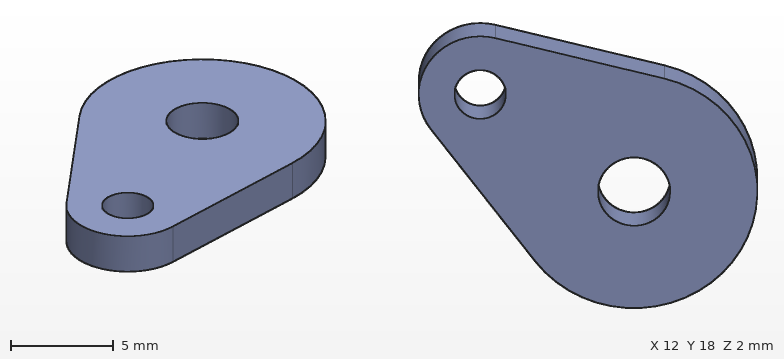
import cadquery as cq
import math

overall_length = 17.99
thickness = 2.0
large_end_diameter = 12.0
center_distance = 9.0
large_hole_diameter = 3.5
small_hole_diameter = 2.5

large_radius = large_end_diameter / 2
small_radius = overall_length - center_distance - large_radius

small_center_y = -center_distance

tangent_angle = math.asin((large_radius - small_radius) / center_distance)


def tangent_point(radius, center_y):
    """Point on the +X side where a flank meets an end arc."""
    return (
        radius * math.cos(tangent_angle),
        center_y - radius * math.sin(tangent_angle),
    )


def mirrored(point):
    """Reflect a point across the Y axis."""
    return (-point[0], point[1])


def make_plate():
    """Teardrop plate: two end arcs joined by tangent straight flanks."""
    large_tangent = tangent_point(large_radius, 0)
    small_tangent = tangent_point(small_radius, small_center_y)
    return (
        cq.Workplane("XY")
        .moveTo(*large_tangent)
        .threePointArc((0, large_radius), mirrored(large_tangent))
        .lineTo(*mirrored(small_tangent))
        .threePointArc((0, small_center_y - small_radius), small_tangent)
        .close()
        .extrude(thickness)
    )


def make_hole(diameter, center_y):
    """Cylinder through the full plate thickness, on the Y axis."""
    return cq.Workplane("XY").center(0, center_y).circle(diameter / 2).extrude(thickness)


result = (
    make_plate()
    .cut(make_hole(large_hole_diameter, 0))
    .cut(make_hole(small_hole_diameter, small_center_y))
)